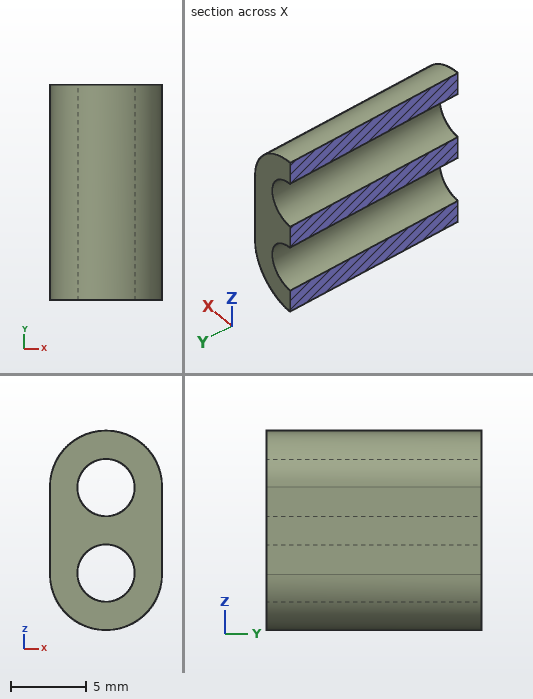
import cadquery as cq

width = 7.49
length = 14.35
height = 13.32

bore_diameter = 3.8
bore_spacing = 5.7


def sleeve_body():
    """Upright oblong profile with full-round ends, extruded along Y."""
    return (
        cq.Workplane("XZ")
        .slot2D(height, width, angle=90)
        .extrude(length / 2, both=True)
    )


def bores():
    """Cylinders for the two through bores, one above the other."""
    return (
        cq.Workplane("XZ")
        .pushPoints([(0, -bore_spacing / 2), (0, bore_spacing / 2)])
        .circle(bore_diameter / 2)
        .extrude(length / 2, both=True)
    )


result = sleeve_body().cut(bores())